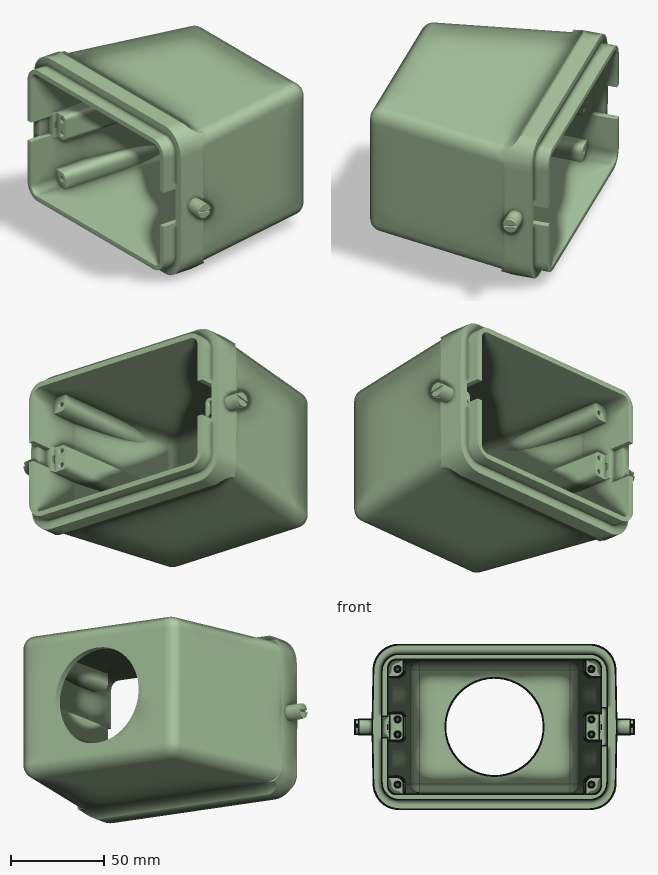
import cadquery as cq
import math

length_x = 150.0
depth_y = 106.0
height_z = 88.5

collar_half_x = 65.7
collar_half_z = height_z / 2
collar_corner_radius = 14.0
collar_side_draft = math.radians(1.1)
collar_front = 8.0
collar_rim_end = 17.0
collar_side_end = 22.8
collar_corner_end = 24.5
collar_corner_half_z = 36.9
collar_bevel_y = 1.2
collar_bevel_z = 0.5

hood_half_z = 39.2
hood_front = 22.5
hood_side_slope = 0.197
hood_half_x_at_collar = 64.8
hood_edge_radius = 6.9
cove_end = 26.1
cove_radius = 9.0

rim_half_x = 60.5
rim_half_z = hood_half_z
rim_corner_radius = 9.0

rim_wall = 3.2
cavity_half_x = rim_half_x - rim_wall
cavity_half_z = 36.3
cavity_back_half_x = 44.4
cavity_back_half_z = 35.4
cavity_taper_start = 34.5
back_wall = 4.5
cavity_back = depth_y - back_wall
cavity_edge_radius = 4.8
cable_hole_diameter = 52.7

notch_depth = 14.0
left_notch_width = 11.5
right_notch_width = 20.4

boss_front = 16.8
boss_inner_x = 48.9
boss_taper = 0.9
screw_x = 52.0
corner_screw_z = 31.0
middle_screw_z = 4.0
corner_boss_inner_z = 27.0
corner_boss_radius = 3.8
middle_boss_half_z = 7.2
middle_boss_radius = 2.3
screw_hole_diameter = 2.5
screw_mouth_diameter = 3.5
screw_mouth_depth = 0.5
screw_hole_depth = 15.0

peg_y = 16.7
peg_diameter = 8.4
peg_tip_diameter = 8.0
peg_tip_length = 2.0
peg_bore_diameter = 5.0
peg_pad_thickness = 0.9
peg_inner_x = cavity_half_x - peg_pad_thickness
slot_width = 1.4
slot_depth = 1.2
slot_angle = 10.0

overlap = 1.5


def plane_at(y):
    """Sketch plane facing -Y: local x is X and local y is Z."""
    return cq.Workplane("XZ", origin=(0, y, 0))


def box_between(x0, x1, y0, y1, half_z):
    block = cq.Workplane("XY").box(x1 - x0, y1 - y0, 2 * half_z, centered=False)
    return block.translate((x0, y0, -half_z))


def hood_half_x(y):
    return hood_half_x_at_collar - hood_side_slope * (y - collar_side_end)


def make_hood():
    """Hood block narrowing towards its back, rounded on the long edges and around the back."""
    front_half_x = hood_half_x(hood_front)
    back_half_x = hood_half_x(depth_y)
    hood = (
        cq.Workplane("XY", origin=(0, 0, -hood_half_z))
        .polyline([
            (-front_half_x, hood_front),
            (front_half_x, hood_front),
            (back_half_x, depth_y),
            (-back_half_x, depth_y),
        ])
        .close()
        .extrude(2 * hood_half_z)
    )
    return hood.edges("not <Y").fillet(hood_edge_radius)


def make_collar():
    """Collar whose sides lean in from mid height, with a cove running out on the hood."""
    corner_x = collar_half_x - collar_half_z * math.tan(collar_side_draft)
    upper_half = (
        plane_at(collar_front)
        .polyline([
            (collar_half_x, 0),
            (corner_x, collar_half_z),
            (-corner_x, collar_half_z),
            (-collar_half_x, 0),
        ])
        .close()
        .extrude(collar_front - cove_end)
        .edges("|Y and >Z").fillet(collar_corner_radius)
    )

    cove_start_y = collar_rim_end + collar_bevel_y
    cove_start_z = collar_half_z - collar_bevel_z
    profile = (
        cq.Workplane("YZ", origin=(-length_x / 2, 0, 0))
        .moveTo(collar_front, 0)
        .lineTo(collar_front, collar_half_z)
        .lineTo(collar_rim_end, collar_half_z)
        .lineTo(cove_start_y, cove_start_z)
        .radiusArc((cove_end, hood_half_z), -cove_radius)
        .lineTo(collar_corner_end, collar_corner_half_z)
        .lineTo(collar_side_end, collar_half_z - collar_corner_radius)
        .lineTo(collar_side_end, 0)
        .close()
        .extrude(length_x)
    )
    upper_half = upper_half.intersect(profile)
    return upper_half.union(upper_half.mirror("XY"))


def make_rim():
    """Rounded block, hollowed later by the cavity, that reaches from the mouth into the front of the hood."""
    rim = plane_at(0).rect(2 * rim_half_x, 2 * rim_half_z).extrude(-hood_front)
    return rim.edges("|Y").fillet(rim_corner_radius)


def make_cavity():
    """Inner space: tapers in Z all the way, and in X only behind the taper start."""
    side = (
        cq.Workplane("XY", origin=(0, 0, -height_z / 2))
        .polyline([
            (-cavity_half_x, 0),
            (cavity_half_x, 0),
            (cavity_half_x, cavity_taper_start),
            (cavity_back_half_x, cavity_back),
            (-cavity_back_half_x, cavity_back),
            (-cavity_half_x, cavity_taper_start),
        ])
        .close()
        .extrude(height_z)
    )
    draft = (
        cq.Workplane("YZ", origin=(-length_x / 2, 0, 0))
        .polyline([
            (0, -cavity_half_z),
            (cavity_back, -cavity_back_half_z),
            (cavity_back, cavity_back_half_z),
            (0, cavity_half_z),
        ])
        .close()
        .extrude(length_x)
    )
    cavity = side.intersect(draft)
    return cavity.edges("((not |Z) or >Y) and (not <Y)").fillet(cavity_edge_radius)


def make_boss(z_low, z_high, radius, side):
    """Boss that starts at the boss front and widens slightly towards the back."""
    width = rim_half_x - boss_inner_x
    return (
        plane_at(boss_front)
        .center(side * (boss_inner_x + width / 2), (z_low + z_high) / 2)
        .sketch().rect(width, z_high - z_low).vertices().fillet(radius).finalize()
        .extrude(boss_front - cavity_back, taper=-boss_taper)
    )


def without_bosses(cavity):
    """Leave the bosses standing in the cavity, with a pad beside each middle one for the peg."""
    for side in (-1, 1):
        middle = make_boss(-middle_boss_half_z, middle_boss_half_z, middle_boss_radius, side)
        upper = make_boss(corner_boss_inner_z, hood_half_z, corner_boss_radius, side)
        cavity = cavity.cut(middle).cut(upper).cut(upper.mirror("XY"))
    pad = box_between(peg_inner_x, rim_half_x, notch_depth, boss_front + overlap, middle_boss_half_z)
    return cavity.cut(pad).cut(pad.mirror("YZ"))


def make_screw_holes():
    places = [
        (side * screw_x, z)
        for side in (-1, 1)
        for z in (-corner_screw_z, -middle_screw_z, middle_screw_z, corner_screw_z)
    ]
    mouth = cq.Solid.makeCone(
        screw_mouth_diameter / 2, screw_hole_diameter / 2, screw_mouth_depth,
        cq.Vector(0, boss_front, 0), cq.Vector(0, 1, 0))
    holes = plane_at(boss_front).pushPoints(places).circle(screw_hole_diameter / 2).extrude(-screw_hole_depth)
    for x, z in places:
        holes = holes.union(cq.Workplane(mouth.translate(cq.Vector(x, 0, z))))
    return holes


def make_peg():
    """Peg on the -X side, with a turned-down slotted tip."""
    tip_start = length_x / 2 - peg_tip_length
    peg = (
        cq.Workplane("YZ", origin=(-tip_start, peg_y, 0))
        .circle(peg_diameter / 2)
        .extrude(tip_start - collar_half_x + overlap)
    )
    tip = (
        cq.Workplane("YZ", origin=(-length_x / 2, peg_y, 0))
        .circle(peg_tip_diameter / 2).extrude(peg_tip_length)
    )
    slot = (
        cq.Workplane("YZ", origin=(-length_x / 2, peg_y, 0))
        .transformed(rotate=(0, 0, -slot_angle))
        .rect(2 * peg_diameter, slot_width).extrude(slot_depth)
    )
    return peg.union(tip).cut(slot)


result = make_hood().union(make_collar()).union(make_rim())
result = result.cut(without_bosses(make_cavity()))

left_notch = box_between(-rim_half_x, -cavity_half_x, 0, notch_depth, left_notch_width / 2)
right_notch = box_between(cavity_half_x, rim_half_x, 0, notch_depth, right_notch_width / 2)
cable_hole = plane_at(cavity_back - overlap).circle(cable_hole_diameter / 2).extrude(-2 * back_wall)
result = result.cut(left_notch).cut(right_notch).cut(cable_hole).cut(make_screw_holes())

peg = make_peg()
peg_bore = (
    cq.Workplane("YZ", origin=(-peg_inner_x, peg_y, 0))
    .circle(peg_bore_diameter / 2).extrude(-peg_pad_thickness)
)
result = result.union(peg).union(peg.mirror("YZ"))
result = result.cut(peg_bore).cut(peg_bore.mirror("YZ"))